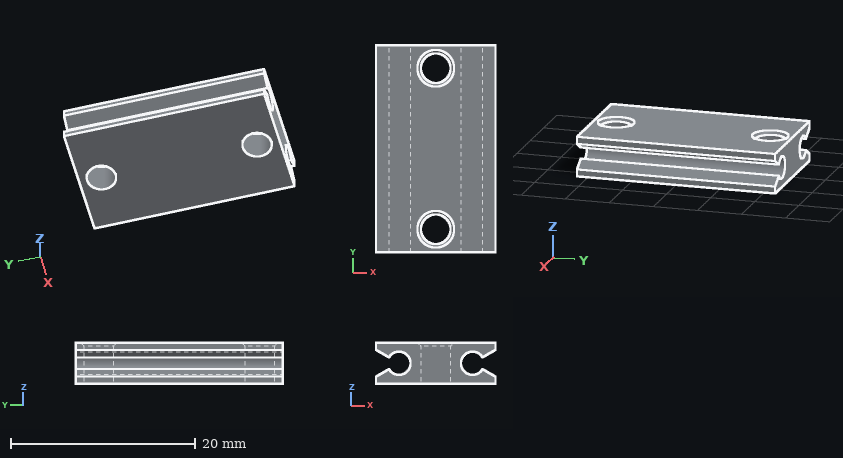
import cadquery as cq
import math

width = 13.0
length = 22.5
height = 4.5

bore_diameter = 2.5
bore_spacing = 8.0
lip_thickness = 0.8
mouth_angle = 60.0

hole_diameter = 3.2
hole_pitch = 17.5
countersink_diameter = 4.0
countersink_angle = 90.0


def make_block():
    return cq.Workplane("XY").box(width, length, height)


def make_groove(side):
    """Groove along Y; side is +1 for the +X side and -1 for the -X side."""
    edge_x = side * width / 2
    mouth_half_height = height / 2 - lip_thickness
    mouth_depth = mouth_half_height / math.tan(math.radians(mouth_angle / 2))

    end_face = cq.Workplane("XZ", origin=(0, length / 2, 0))
    bore = end_face.center(side * bore_spacing / 2, 0).circle(bore_diameter / 2).extrude(length)
    mouth = (
        end_face
        .moveTo(edge_x, mouth_half_height)
        .lineTo(edge_x - side * mouth_depth, 0)
        .lineTo(edge_x, -mouth_half_height)
        .close()
        .extrude(length)
    )
    return bore.union(mouth)


def drill_holes(body):
    hole_places = [(0, -hole_pitch / 2), (0, hole_pitch / 2)]
    return (
        body.faces(">Z")
        .workplane(origin=(0, 0, 0))
        .pushPoints(hole_places)
        .cskHole(hole_diameter, countersink_diameter, countersink_angle)
    )


result = make_block()
for side in (-1, 1):
    result = result.cut(make_groove(side))
result = drill_holes(result)